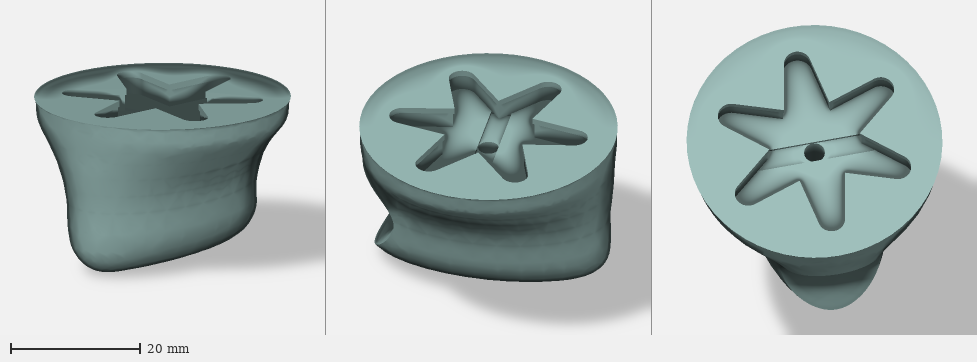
import cadquery as cq
import math

height = 25.1
rim_half_x = 19.78
rim_half_y = 20.0

body_sections = [
    (0.0, rim_half_x, rim_half_y),
    (2.0, 19.3, 19.9),
    (4.4, 18.1, 19.8),
    (7.2, 15.25, 19.7),
    (10.8, 12.5, 19.5),
    (14.4, 11.25, 19.2),
    (18.0, 10.9, 19.3),
    (20.8, 10.0, 19.2),
    (22.8, 8.5, 18.4),
    (24.2, 6.2, 16.9),
    (height, 3.0, 14.2),
]

groove_top_depth = 6.9
groove_waist_y = 13.25
groove_waist_depth = 15.4
groove_lip_y = 17.95
groove_lip_depth = 23.6
groove_upper_y = 15.7
groove_upper_depth = 10.8
groove_lower_y = 14.2
groove_lower_depth = 18.2
groove_clearance_y = 24.0

arm_count = 6
arm_end_radius = 2.1
arm_end_distance = 13.6
valley_radius = 7.1
lip_thickness = 0.95
undercut = 0.2
socket_depth = 3.6

channel_width = 3.2
channel_length = 18.15
channel_depth = 0.4
hole_diameter = 3.2


def polar(radius, angle):
    return (radius * math.cos(angle), radius * math.sin(angle))


def make_body():
    """Loft the knob through its elliptical cross sections."""
    work = cq.Workplane("XY")
    previous_depth = 0.0
    for depth, half_x, half_y in body_sections:
        work = work.workplane(offset=previous_depth - depth).ellipse(half_x, half_y)
        previous_depth = depth
    return work.loft(combine=True)


def make_finger_groove():
    """Volume outside the waist of the +Y side, swept straight along X."""
    curve = [
        (groove_upper_y, -groove_upper_depth),
        (groove_waist_y, -groove_waist_depth),
        (groove_lower_y, -groove_lower_depth),
        (groove_lip_y, -groove_lip_depth),
    ]
    return (
        cq.Workplane("YZ")
        .moveTo(rim_half_y, -groove_top_depth)
        .spline(curve, includeCurrent=True)
        .lineTo(groove_clearance_y, -groove_lip_depth)
        .lineTo(groove_clearance_y, -groove_top_depth)
        .close()
        .extrude(rim_half_x, both=True)
    )


def star_outline(top_z):
    """Star with straight flanks that run tangent into rounded arm ends."""
    pitch = 2 * math.pi / arm_count
    valley_along = valley_radius * math.cos(pitch / 2)
    valley_across = valley_radius * math.sin(pitch / 2)
    run = arm_end_distance - valley_along
    tangent_angle = math.atan2(valley_across, -run) - math.acos(
        arm_end_radius / math.hypot(run, valley_across)
    )
    tangent_along = arm_end_distance + arm_end_radius * math.cos(tangent_angle)
    tangent_across = arm_end_radius * math.sin(tangent_angle)
    tangent_radius = math.hypot(tangent_along, tangent_across)
    tangent_turn = math.atan2(tangent_across, tangent_along)
    tip_radius = arm_end_distance + arm_end_radius

    outline = cq.Workplane("XY", origin=(0, 0, top_z)).moveTo(*polar(valley_radius, 0))
    for index in range(arm_count):
        axis = (index + 0.5) * pitch
        outline = (
            outline.lineTo(*polar(tangent_radius, axis - tangent_turn))
            .threePointArc(polar(tip_radius, axis), polar(tangent_radius, axis + tangent_turn))
        )
        if index < arm_count - 1:
            outline = outline.lineTo(*polar(valley_radius, axis + pitch / 2))
    return outline.close()


def make_socket():
    """Star opening, wider below a thin lip, with the channel and through hole."""
    opening = star_outline(0).extrude(-lip_thickness)
    chamber = (
        star_outline(-lip_thickness)
        .offset2D(undercut, "intersection")
        .extrude(lip_thickness - socket_depth)
    )
    channel = (
        cq.Workplane("XY", origin=(0, 0, -socket_depth))
        .rect(channel_length, channel_width)
        .extrude(-channel_depth)
    )
    hole = cq.Workplane("XY").circle(hole_diameter / 2).extrude(-height)
    return opening.union(chamber).union(channel).union(hole)


result = make_body().cut(make_finger_groove()).cut(make_socket())